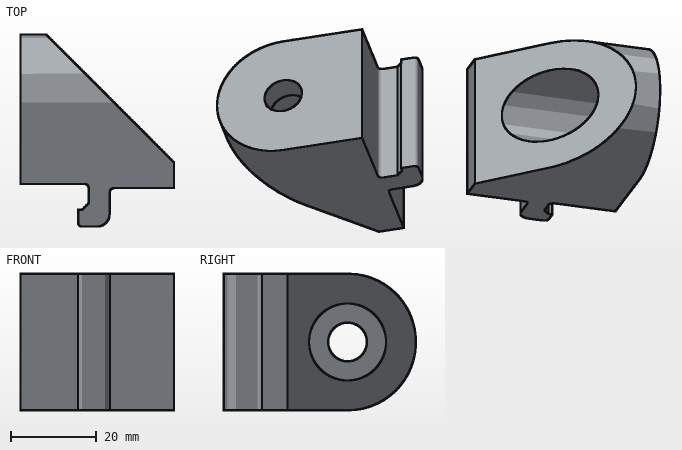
import cadquery as cq

width = 36.0
depth = 45.0
height = 32.0

rear_width = 6.0
side_front_y = 15.0
left_front_y = 10.0
right_front_y = 9.0
end_radius = height / 2
hole_diameter = 9.0
counterbore_diameter = 18.0
hole_y = depth - end_radius

hook_left = 13.5
stem_left = 15.98
stem_right = 20.92
lip_width = 1.0
lip_height = 4.0
ramp = stem_left - hook_left - lip_width
small_radius = 1.0
heel_radius = 3.0


def make_body():
    """Wedge with a hook, extruded along Z with the hook corners rounded."""
    outline = [
        (0, left_front_y),
        (stem_left, left_front_y),
        (stem_left, lip_height + ramp),
        (hook_left + lip_width, lip_height),
        (hook_left, lip_height),
        (hook_left, 0),
        (stem_right, 0),
        (stem_right, right_front_y),
        (width, right_front_y),
        (width, side_front_y),
        (rear_width, depth),
        (0, depth),
    ]
    body = cq.Workplane("XY").polyline(outline).close().extrude(height)

    small_corners = [
        (stem_left, left_front_y),
        (hook_left, 0),
        (stem_right, right_front_y),
    ]
    for x, y in small_corners:
        body = round_corner(body, x, y, small_radius)
    return round_corner(body, stem_right, 0, heel_radius)


def round_corner(body, x, y, radius):
    """Fillet the vertical edge nearest to (x, y)."""
    edge = cq.selectors.NearestToPointSelector((x, y, height / 2))
    return body.edges("|Z").edges(edge).fillet(radius)


def make_side_profile():
    """Full-width block whose rear end is a half cylinder along X."""
    return (
        cq.Workplane("YZ")
        .lineTo(hole_y, 0)
        .threePointArc((depth, height / 2), (hole_y, height))
        .lineTo(0, height)
        .close()
        .extrude(width)
    )


def make_cylinder(diameter, start_x):
    """Cylinder along X on the axis of the rounded end, from start_x to the +X side."""
    return (
        cq.Workplane("YZ", origin=(start_x, hole_y, height / 2))
        .circle(diameter / 2)
        .extrude(width - start_x)
    )


hole = make_cylinder(hole_diameter, 0)
counterbore = make_cylinder(counterbore_diameter, rear_width)
result = make_body().intersect(make_side_profile()).cut(hole).cut(counterbore)